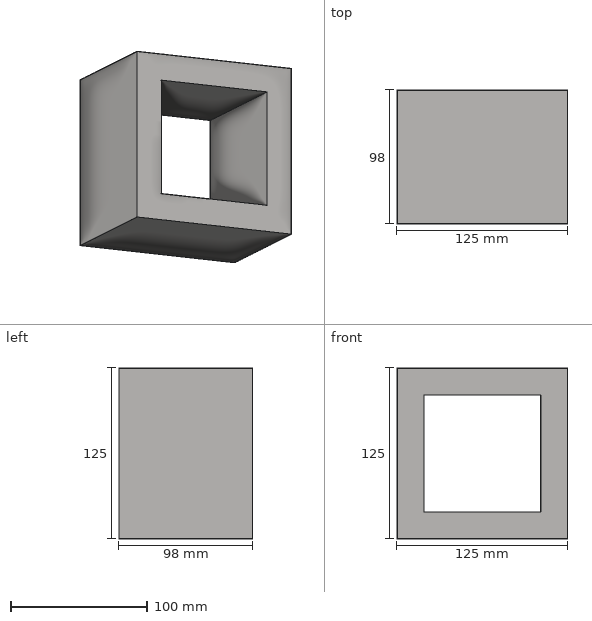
import cadquery as cq

outer_side = 125.0
tube_length = 98.0
wall = 19.8
opening_side = outer_side - 2 * wall

outer_block = cq.Workplane("XY").box(outer_side, tube_length, outer_side)
opening = cq.Workplane("XY").box(opening_side, tube_length, opening_side)

result = outer_block.cut(opening)